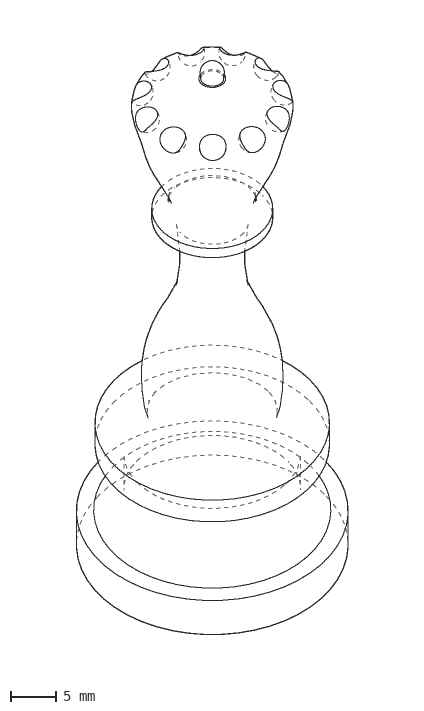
import cadquery as cq
import math

height = 70.6
base_radius = 15.0
base_top = 5.0
lip_radius = 13.6
cone_foot_radius = 13.05
cone_foot = 5.15
cone_top_radius = 10.7
cone_top = 6.65
pillar_diameter = 19.4
pillar_radius = pillar_diameter / 2
pillar_bottom = 8.3
lower_collar_radius = 12.9
lower_collar_bottom = 14.75
lower_collar_thickness = 3.2
lower_collar_top = lower_collar_bottom + lower_collar_thickness
collar_cove = 1.55

stem_foot_radius = 10.2
ankle_radius = 7.2
ankle_height = 19.5
flare_radius = 8.2
flare_height = 18.1
belly_foot_radius = 7.55
belly_foot_height = 21.25
belly_radius = 7.85
belly_height = 24.5
upper_belly_radius = 7.0
upper_belly_height = 30.5
shoulder_radius = 5.7
shoulder_height = 33.7
throat_radius = 3.95
throat_height = 37.9
neck_radius = 3.6
neck_height = 41.3
neck_top_radius = 3.95
belly_foot_direction = (0.16, 1)
neck_top_direction = (0.1, 1)
upper_collar_diameter = 13.35
upper_collar_radius = upper_collar_diameter / 2
upper_collar_bottom = 48.0
upper_collar_thickness = 1.35
upper_collar_top = upper_collar_bottom + upper_collar_thickness
upper_cove = 0.8

crown_foot_radius = 6.0
crown_waist_radius = 4.8
crown_waist_height = 51.0
crown_lower_radius = 5.4
crown_lower_height = 53.1
crown_middle_radius = 7.1
crown_middle_height = 57.05
crown_band_radius = 8.2
crown_band_height = 61.1
rim_radius = 8.9
rim_height = 64.6
rim_corner_radius = 8.6
rim_corner_height = 65.45
rim_round_radius = 7.85
rim_round_top = 65.9
crown_band_direction = (0.23, 1)
dome_foot_radius = 4.8
dome_foot_height = 66.5
dome_foot_direction = (-1, 0.25)
dome_middle_radius = 3.1
dome_middle_height = 67.35
dome_top_radius = 1.5
dome_top = 68.4

ball_radius = 1.35
ball_center = height - ball_radius
finial_neck_radius = 1.3
scallop_count = 11
scallop_radius = 1.5
scallop_ring_radius = 8.05
scallop_height = 65.45
first_scallop_angle = -90.0


def cove_middle(wall_radius, ledge_height, cove):
    """Middle point of a quarter-round cove between a wall and the ledge above it."""
    offset = cove * (1 - math.sqrt(0.5))
    return (wall_radius + offset, ledge_height - offset)


def turned_profile():
    """Half outline in the XZ plane: radius along X, height along Z."""
    outline = cq.Workplane("XZ").lineTo(base_radius, 0)
    outline = (
        outline.lineTo(base_radius, base_top)
        .lineTo(lip_radius, base_top)
        .lineTo(cone_foot_radius, cone_foot)
        .lineTo(cone_top_radius, cone_top)
        .tangentArcPoint((pillar_radius, pillar_bottom), relative=False)
        .lineTo(pillar_radius, lower_collar_bottom - collar_cove)
        .threePointArc(
            cove_middle(pillar_radius, lower_collar_bottom, collar_cove),
            (pillar_radius + collar_cove, lower_collar_bottom),
        )
        .lineTo(lower_collar_radius, lower_collar_bottom)
        .lineTo(lower_collar_radius, lower_collar_top)
    )
    outline = (
        outline.lineTo(stem_foot_radius, lower_collar_top)
        .spline(
            [
                (flare_radius, flare_height),
                (ankle_radius, ankle_height),
                (belly_foot_radius, belly_foot_height),
            ],
            tangents=[(-1, 0), belly_foot_direction],
            includeCurrent=True,
        )
        .spline(
            [
                (belly_radius, belly_height),
                (upper_belly_radius, upper_belly_height),
                (shoulder_radius, shoulder_height),
                (throat_radius, throat_height),
                (neck_radius, neck_height),
                (neck_top_radius, upper_collar_bottom - upper_cove),
            ],
            tangents=[belly_foot_direction, neck_top_direction],
            includeCurrent=True,
        )
        .threePointArc(
            cove_middle(neck_top_radius, upper_collar_bottom, upper_cove),
            (neck_top_radius + upper_cove, upper_collar_bottom),
        )
        .lineTo(upper_collar_radius, upper_collar_bottom)
        .lineTo(upper_collar_radius, upper_collar_top)
    )
    outline = (
        outline.lineTo(crown_foot_radius, upper_collar_top)
        .spline(
            [(crown_waist_radius, crown_waist_height)],
            tangents=[(-1, 0), (0, 1)],
            includeCurrent=True,
        )
        .spline(
            [
                (crown_lower_radius, crown_lower_height),
                (crown_middle_radius, crown_middle_height),
                (crown_band_radius, crown_band_height),
            ],
            tangents=[(0, 1), crown_band_direction],
            includeCurrent=True,
        )
        .spline(
            [
                (rim_radius, rim_height),
                (rim_corner_radius, rim_corner_height),
                (rim_round_radius, rim_round_top),
                (dome_foot_radius, dome_foot_height),
            ],
            tangents=[crown_band_direction, dome_foot_direction],
            includeCurrent=True,
        )
        .threePointArc((dome_middle_radius, dome_middle_height), (dome_top_radius, dome_top))
    )
    ball_foot = ball_center - math.sqrt(ball_radius**2 - finial_neck_radius**2)
    return (
        outline.lineTo(finial_neck_radius, dome_top)
        .lineTo(finial_neck_radius, ball_foot)
        .threePointArc((ball_radius, ball_center), (0, height))
        .close()
    )


def scallop(index):
    """Ball that hollows out one notch of the crown rim."""
    angle = math.radians(first_scallop_angle + index * 360 / scallop_count)
    return cq.Workplane("XY").sphere(scallop_radius).translate(
        (
            scallop_ring_radius * math.cos(angle),
            scallop_ring_radius * math.sin(angle),
            scallop_height,
        )
    )


result = turned_profile().revolve(360, (0, 0, 0), (0, 1, 0))
for index in range(scallop_count):
    result = result.cut(scallop(index))